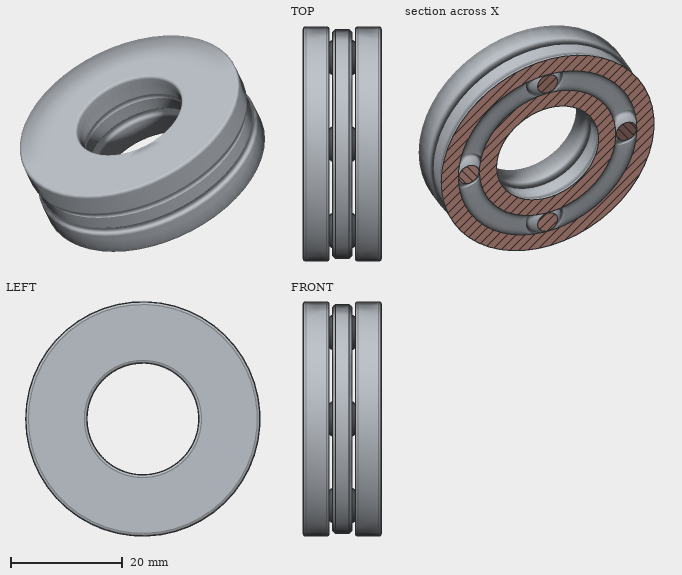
import cadquery as cq

outer_diameter = 42.0
bore_diameter = 20.0
bearing_width = 14.0
washer_width = bearing_width / 3
edge_size = 0.5

cage_width = 0.75 * washer_width
cage_outer_diameter = outer_diameter - 2 * edge_size
cage_bore_diameter = bore_diameter + 2 * edge_size

ball_count = 4
ball_diameter = 7.15
pocket_diameter = 7.4
pitch_radius = (outer_diameter + bore_diameter) / 4


def ring(outer, bore, width, center_x):
    """Plain ring around the X axis, centred at center_x."""
    return (
        cq.Workplane("YZ")
        .workplane(offset=center_x - width / 2)
        .circle(outer / 2)
        .circle(bore / 2)
        .extrude(width)
    )


def raceway():
    """Torus swept by the balls as they roll around the X axis."""
    return cq.Workplane(
        cq.Solid.makeTorus(pitch_radius, ball_diameter / 2, cq.Vector(0, 0, 0), cq.Vector(1, 0, 0))
    )


def make_washer(side):
    """Round-edged washer with a ball groove; side is -1 or +1 along X."""
    center_x = side * (bearing_width - washer_width) / 2
    blank = ring(outer_diameter, bore_diameter, washer_width, center_x)
    return blank.edges("%CIRCLE").fillet(edge_size).cut(raceway())


def around_pitch_circle(body):
    """Equally spaced copies of a body centred at the origin, the first one on +Y."""
    first = body.translate((0, pitch_radius, 0))
    step = 360 / ball_count
    return [first.rotate((0, 0, 0), (1, 0, 0), i * step) for i in range(ball_count)]


def make_balls():
    """One separate ball per pocket."""
    return around_pitch_circle(cq.Workplane("XZ").sphere(ball_diameter / 2))


def make_cage():
    """Chamfered ring with one round through pocket per ball."""
    cage = ring(cage_outer_diameter, cage_bore_diameter, cage_width, 0)
    cage = cage.edges("%CIRCLE").chamfer(edge_size)
    pocket = cq.Workplane("YZ").circle(pocket_diameter / 2).extrude(cage_width, both=True)
    for placed_pocket in around_pitch_circle(pocket):
        cage = cage.cut(placed_pocket)
    return cage


washers = [make_washer(side) for side in (-1, 1)]
balls = make_balls()
cage = make_cage()

result = cq.Compound.makeCompound(
    [
        *[washer.val() for washer in washers],
        cage.val(),
        *[ball.val() for ball in balls],
    ]
)